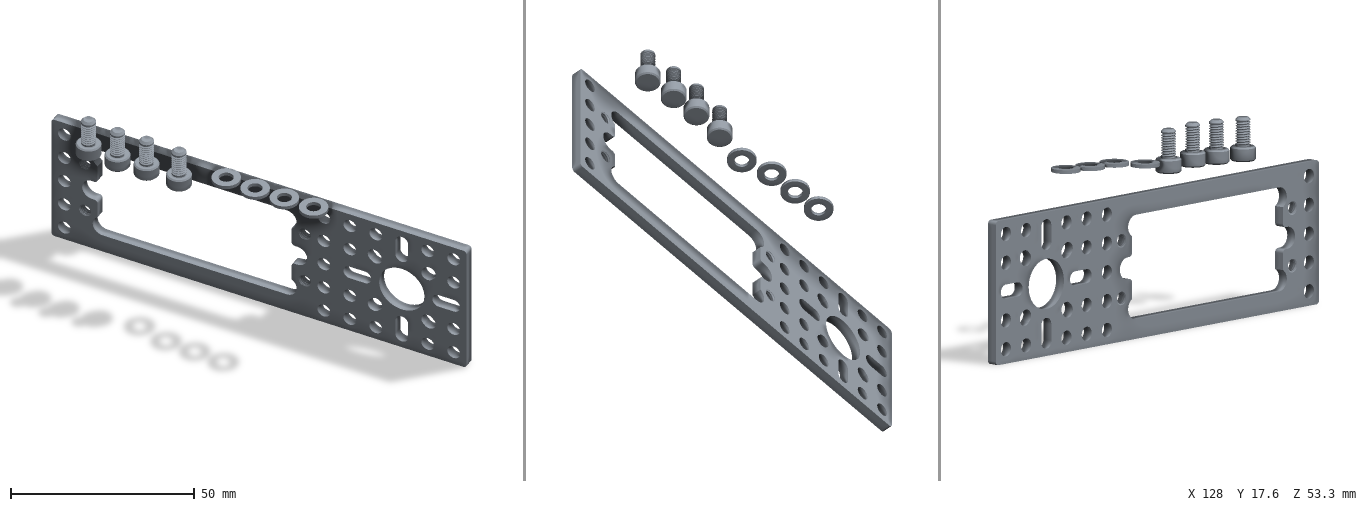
import cadquery as cq
import math

plate_length = 128.0
grid_columns = 16
grid_rows = 5
pitch = plate_length / grid_columns
plate_height = grid_rows * pitch
plate_thickness = 3.0
plate_corner_radius = 1.0
grid_hole_diameter = 4.0

hub_column = 13
hub_row = grid_rows // 2
hub_bore_diameter = 14.0
hub_circle_radius = 12.0
hub_slot_length = 8.6
hub_reach = 2 * pitch
full_columns = [0, 10]
hub_side_columns = [11, 12, 14, 15]

opening_center_x = 44.2
opening_width = 59.8
opening_height = 28.9
relief_width = 62.8
relief_radius = 3.1
notch_width = 69.4
notch_height = 6.1
notch_edge_radius = 1.0
mount_spacing = 67.7

thread_diameter = 4.1
thread_pitch = 0.7
thread_depth = 0.44
thread_crest = thread_pitch / 8
thread_root = thread_pitch / 4
thread_clearance = 0.06

head_diameter = 7.0
head_height = 4.0
head_chamfer = 0.4
shank_length = 8.0
tip_chamfer = 0.6
screw_places = [
    (16.6, -12.8, 0.5),
    (26.1, -13.8, 0.9),
    (35.2, -14.1, 1.3),
    (45.0, -13.8, 0.9),
]

washer_diameter = 8.0
washer_hole_diameter = 4.1
washer_thickness = 1.0
washer_places = [
    (57.9, -10.5, 4.7),
    (67.8, -12.5, 6.0),
    (77.0, -12.9, 6.3),
    (86.3, -13.3, 6.7),
]


def grid_point(column, row):
    """X and Z of a point of the hole grid."""
    return ((column + 0.5) * pitch, (row + 0.5) * pitch)


def helical_groove(mouth_radius, root_radius, length):
    """Cutter of a V-shaped helical groove around Z, rising from Z = 0."""
    outward = math.copysign(thread_clearance, mouth_radius - root_radius)
    half_mouth = (thread_pitch - thread_crest) / 2
    half_root = thread_root / 2
    flank_slope = (half_mouth - half_root) / thread_depth
    clear_radius = mouth_radius + outward
    half_clear = half_mouth + flank_slope * thread_clearance
    path = cq.Wire.makeHelix(thread_pitch, length, mouth_radius)
    profile = cq.Workplane("XZ").polyline([
        (clear_radius, -half_clear),
        (root_radius, -half_root),
        (root_radius, half_root),
        (clear_radius, half_clear),
    ]).close()
    return profile.sweep(cq.Workplane(path), isFrenet=True)


def through_cutter(outline):
    """Extrude an outline through the whole plate thickness."""
    return outline.extrude(plate_thickness)


def servo_opening():
    """Opening with rounded corner reliefs and a round-ended notch in each end."""
    relief_z = opening_height / 2 - relief_radius
    plane = cq.Workplane("XZ").center(opening_center_x, plate_height / 2)
    middle = through_cutter(plane.rect(opening_width, 2 * relief_z))
    notch = through_cutter(plane.slot2D(notch_width, notch_height))
    reliefs = through_cutter(
        plane.pushPoints([(0, relief_z), (0, -relief_z)]).slot2D(relief_width, 2 * relief_radius)
    )
    opening = middle.union(notch)
    for side in (-1, 1):
        tab_x = opening_center_x + side * opening_width / 2
        near_tab = cq.selectors.BoxSelector(
            (tab_x - notch_edge_radius, -plate_thickness, plate_height / 2 - notch_height),
            (tab_x + notch_edge_radius, 0, plate_height / 2 + notch_height),
        )
        opening = opening.edges(near_tab).edges("|Y").fillet(notch_edge_radius)
    return opening.union(reliefs)


def grid_holes():
    """Round holes of the grid, leaving out the places taken by the hub slots."""
    points = [grid_point(column, row) for column in full_columns for row in range(grid_rows)]
    side_rows = [row for row in range(grid_rows) if row != hub_row]
    points += [grid_point(column, row) for column in hub_side_columns for row in side_rows]
    return through_cutter(cq.Workplane("XZ").pushPoints(points).circle(grid_hole_diameter / 2))


def hub_pattern():
    """Bore, four radial slots and four diagonal holes on the hub circle."""
    plane = cq.Workplane("XZ").center(*grid_point(hub_column, hub_row))
    pattern = through_cutter(plane.circle(hub_bore_diameter / 2))
    slot_middle = hub_reach - (hub_slot_length - grid_hole_diameter) / 2
    pattern = pattern.union(through_cutter(
        plane.pushPoints([(-slot_middle, 0), (slot_middle, 0)]).slot2D(hub_slot_length, grid_hole_diameter)
    ))
    pattern = pattern.union(through_cutter(
        plane.pushPoints([(0, -slot_middle), (0, slot_middle)]).slot2D(hub_slot_length, grid_hole_diameter, 90)
    ))
    return pattern.union(through_cutter(
        plane.polarArray(hub_circle_radius, 45, 360, 4).circle(grid_hole_diameter / 2)
    ))


def threaded_hole_cutter():
    """Bore and helical groove of a threaded hole through the plate, along Y from the origin."""
    major_radius = thread_diameter / 2
    minor_radius = major_radius - thread_depth
    groove_length = plate_thickness + 2 * thread_pitch
    groove = helical_groove(minor_radius, major_radius, groove_length).translate((0, 0, -thread_pitch))
    bore = cq.Workplane("XY").circle(minor_radius).extrude(plate_thickness)
    return [cutter.rotate((0, 0, 0), (1, 0, 0), 90) for cutter in (bore, groove)]


def make_plate():
    plate = (
        cq.Workplane("XZ")
        .rect(plate_length, plate_height, centered=False)
        .extrude(plate_thickness)
        .edges("|Y")
        .fillet(plate_corner_radius)
    )
    plate = plate.cut(servo_opening()).cut(grid_holes()).cut(hub_pattern())
    bore_and_groove = threaded_hole_cutter()
    for side in (-1, 1):
        for row in (hub_row - 1, hub_row + 1):
            hole_x = opening_center_x + side * mount_spacing / 2
            hole_z = grid_point(0, row)[1]
            for cutter in bore_and_groove:
                plate = plate.cut(cutter.translate((hole_x, 0, hole_z)))
    return plate


def make_screw():
    """Cap screw standing on its head, underside centre at the origin."""
    head = cq.Workplane("XY").circle(head_diameter / 2).extrude(head_height)
    head = head.edges("%CIRCLE").chamfer(head_chamfer)
    shank = (
        cq.Workplane("XY")
        .circle(thread_diameter / 2)
        .extrude(shank_length)
        .faces(">Z")
        .chamfer(tip_chamfer)
    )
    crest_radius = thread_diameter / 2
    thread_length = shank_length - tip_chamfer - thread_pitch
    groove = helical_groove(crest_radius, crest_radius - thread_depth, thread_length)
    shank = shank.cut(groove.translate((0, 0, thread_pitch / 2)))
    return head.union(shank.translate((0, 0, head_height)))


def make_washer():
    """Flat ring, underside centre at the origin."""
    return (
        cq.Workplane("XY")
        .circle(washer_diameter / 2)
        .circle(washer_hole_diameter / 2)
        .extrude(washer_thickness)
    )


def placed_copies(body, places):
    """One separate solid of the body at each place above the plate."""
    solid = body.solids().val()
    return [solid.translate(cq.Vector(x, y, plate_height + lift)) for x, y, lift in places]


plate = make_plate().solids().val()
screws = placed_copies(make_screw(), screw_places)
washers = placed_copies(make_washer(), washer_places)

result = cq.Compound.makeCompound([plate, *screws, *washers])